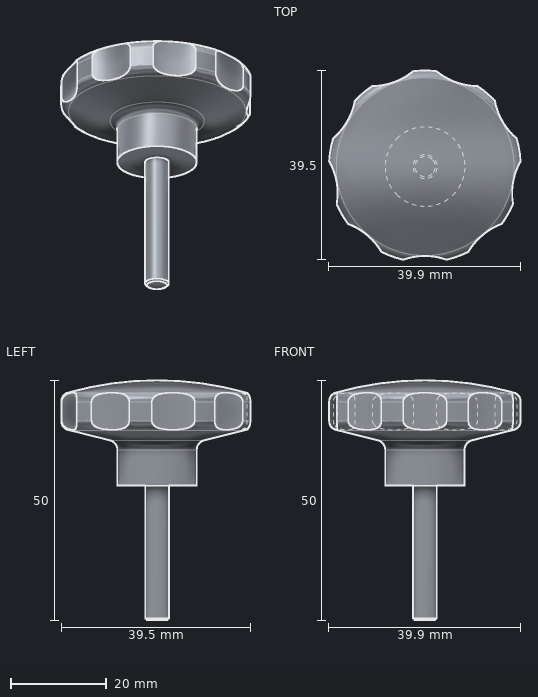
import cadquery as cq
import math

KNOB_HEIGHT = 22.0
RIM_RADIUS = 20.0
RIM_FILLET = 2.0
RIM_BAND_BOTTOM = 13.55
RIM_BAND_TOP = 17.5

HUB_RADIUS = 8.3
HUB_HEIGHT = 7.5
HUB_FILLET = 2.0

STUD_RADIUS = 2.5
STUD_LENGTH = 28.0
STUD_CHAMFER = 0.4

GRIP_COUNT = 9
GRIP_FLOOR_RADIUS = 18.7
GRIP_CUTTER_RADIUS = 13.5
FIRST_GRIP_ANGLE = -90.0


def on_circle(center, radius, degrees):
    """Point of a circle at an angle measured from the positive radial direction."""
    angle = math.radians(degrees)
    return (center[0] + radius * math.cos(angle), center[1] + radius * math.sin(angle))


def make_head():
    """Revolve the hub, conical underside, rounded rim and domed top."""
    fillet_center_radius = RIM_RADIUS - RIM_FILLET
    upper_center = (fillet_center_radius, RIM_BAND_TOP)
    lower_center = (fillet_center_radius, RIM_BAND_BOTTOM)
    hub_center = (HUB_RADIUS + HUB_FILLET, HUB_HEIGHT)

    apex_rise = KNOB_HEIGHT - RIM_BAND_TOP
    tangency_sum = fillet_center_radius**2 + apex_rise**2 - RIM_FILLET**2
    dome_radius = tangency_sum / (2 * (apex_rise - RIM_FILLET))
    dome_center = (0, KNOB_HEIGHT - dome_radius)
    dome_edge_angle = math.degrees(math.atan2(upper_center[1] - dome_center[1], fillet_center_radius))

    run = lower_center[0] - hub_center[0]
    rise = lower_center[1] - hub_center[1]
    center_line_angle = math.atan2(rise, run)
    tangent_offset = math.asin((RIM_FILLET + HUB_FILLET) / math.hypot(run, rise))
    slope = math.degrees(center_line_angle - tangent_offset)
    cone_inner_angle = 90 + slope
    cone_outer_angle = slope - 90

    profile = (
        cq.Workplane("XZ")
        .lineTo(HUB_RADIUS, 0)
        .lineTo(HUB_RADIUS, HUB_HEIGHT)
        .threePointArc(
            on_circle(hub_center, HUB_FILLET, (180 + cone_inner_angle) / 2),
            on_circle(hub_center, HUB_FILLET, cone_inner_angle),
        )
        .lineTo(*on_circle(lower_center, RIM_FILLET, cone_outer_angle))
        .threePointArc(
            on_circle(lower_center, RIM_FILLET, cone_outer_angle / 2),
            (RIM_RADIUS, RIM_BAND_BOTTOM),
        )
        .lineTo(RIM_RADIUS, RIM_BAND_TOP)
        .threePointArc(
            on_circle(upper_center, RIM_FILLET, dome_edge_angle / 2),
            on_circle(upper_center, RIM_FILLET, dome_edge_angle),
        )
        .threePointArc(
            on_circle(dome_center, dome_radius, (dome_edge_angle + 90) / 2),
            (0, KNOB_HEIGHT),
        )
        .close()
    )
    return profile.revolve(360, (0, 0, 0), (0, 1, 0))


def make_stud():
    """Plain stud below the hub with a chamfered tip."""
    return (
        cq.Workplane("XY")
        .circle(STUD_RADIUS)
        .extrude(-STUD_LENGTH)
        .faces("<Z")
        .chamfer(STUD_CHAMFER)
    )


def cut_grips(head):
    """Scallop the rim with evenly spaced vertical cylinders."""
    cutter_distance = GRIP_FLOOR_RADIUS + GRIP_CUTTER_RADIUS
    for index in range(GRIP_COUNT):
        angle = FIRST_GRIP_ANGLE + index * 360 / GRIP_COUNT
        cutter = (
            cq.Workplane("XY")
            .center(*on_circle((0, 0), cutter_distance, angle))
            .circle(GRIP_CUTTER_RADIUS)
            .extrude(KNOB_HEIGHT)
        )
        head = head.cut(cutter)
    return head


result = cut_grips(make_head()).union(make_stud())